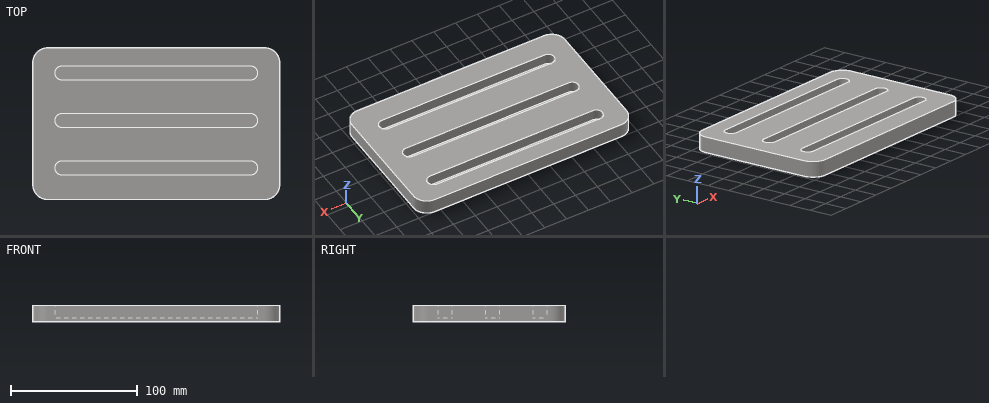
import cadquery as cq

length = 195
width = 120.0
thickness = 13.0
corner_radius = 12.0

slot_length = 159.9
slot_width = 11.0
slot_depth = 10.0
slot_pitch = 37.5
middle_slot_y = 2.5

plate = (
    cq.Workplane("XY")
    .box(length, width, thickness, centered=(True, True, False))
    .edges("|Z")
    .fillet(corner_radius)
)

slot_centers = [(0, middle_slot_y + row * slot_pitch) for row in (-1, 0, 1)]

result = (
    plate.faces(">Z")
    .workplane(origin=(0, 0, thickness))
    .pushPoints(slot_centers)
    .slot2D(slot_length, slot_width)
    .cutBlind(-slot_depth)
)